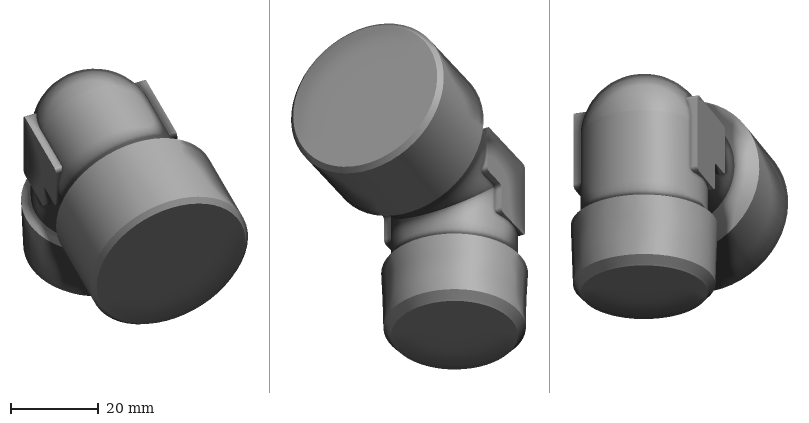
import cadquery as cq

tube_radius = 14.5

socket_radius = 19.5
socket_end = 45.0
socket_cone_start = 20.95
socket_cone_end = 23.85
socket_chamfer = 1.1

male_bottom = -38.95
male_top_radius = 16.75
male_bottom_radius = 16.25
shoulder_bottom = -22.15
shoulder_step = -21.5
shoulder_step_radius = 15.25
shoulder_top = -21.0
male_chamfer_top = -36.9
tip_chamfer_top = -38.6
tip_chamfer_radius = 14.75
tip_radius = 14.45

pad_half_width = 6.0
pad_reach = 13.0
pad_outer_face = 15.0
pad_corner_radius = 1.0


def make_socket_branch():
    """Horizontal tube with its conical flare and chamfered socket."""
    profile = [
        (0, 0),
        (0, tube_radius),
        (socket_cone_start, tube_radius),
        (socket_cone_end, socket_radius),
        (socket_end - socket_chamfer, socket_radius),
        (socket_end, socket_radius - socket_chamfer),
        (socket_end, 0),
    ]
    return cq.Workplane("XZ").polyline(profile).close().revolve(360, (0, 0), (1, 0))


def make_male_branch():
    """Vertical tube with its stepped shoulder, tapered end and tip chamfers."""
    profile = [
        (0, 0),
        (tube_radius, 0),
        (tube_radius, shoulder_top),
        (shoulder_step_radius, shoulder_step),
        (male_top_radius, shoulder_bottom),
        (male_bottom_radius, male_chamfer_top),
        (tip_chamfer_radius, tip_chamfer_top),
        (tip_radius, male_bottom),
        (0, male_bottom),
    ]
    return cq.Workplane("XZ").polyline(profile).close().revolve(360, (0, 0), (0, 1))


def make_elbow():
    """Both branches joined by a ball that rounds the outside of the bend."""
    ball = cq.Workplane("XY").sphere(tube_radius)
    return make_socket_branch().union(make_male_branch()).union(ball)


def make_pad(side, elbow):
    """Flat L-shaped pad seated on the elbow, on the +Y (1) or -Y (-1) side."""
    outline = [
        (-pad_half_width, pad_half_width),
        (pad_reach, pad_half_width),
        (pad_reach, -pad_half_width),
        (pad_half_width, -pad_half_width),
        (pad_half_width, -pad_reach),
        (-pad_half_width, -pad_reach),
    ]
    block = cq.Workplane("XZ").polyline(outline).close().extrude(-side * pad_outer_face)
    return block.edges("|Y").fillet(pad_corner_radius).cut(elbow)


elbow = make_elbow()
pads = [make_pad(side, elbow) for side in (-1, 1)]

result = cq.Compound.makeCompound([elbow.solids().val(), *[pad.solids().val() for pad in pads]])